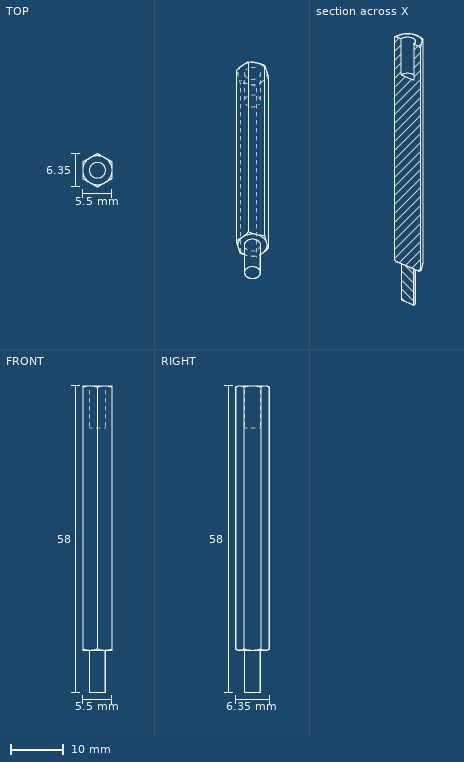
import cadquery as cq
import math

total_length = 58.0
stud_length = 8.0
across_flats = 5.5
thread_diameter = 3.0
end_chamfer_angle = 30.0

hex_length = total_length - stud_length
bore_depth = stud_length
across_corners = across_flats / math.cos(math.radians(30))
corner_excess = (across_corners - across_flats) / 2
corner_chamfer_height = corner_excess * math.tan(math.radians(end_chamfer_angle))


def make_turned_envelope():
    """Cylinder around the hex corners, coned down to the flats at both ends."""
    outer_radius = across_corners / 2
    end_radius = across_flats / 2
    return (
        cq.Workplane("XZ")
        .moveTo(0, 0)
        .lineTo(end_radius, 0)
        .lineTo(outer_radius, corner_chamfer_height)
        .lineTo(outer_radius, hex_length - corner_chamfer_height)
        .lineTo(end_radius, hex_length)
        .lineTo(0, hex_length)
        .close()
        .revolve(360, (0, 0, 0), (0, 1, 0))
    )


def make_hex_body():
    """Hexagonal spacer with corners on the Y axis and a blind bore in its top."""
    hex_prism = (
        cq.Workplane("XY")
        .transformed(rotate=(0, 0, 90))
        .polygon(6, across_corners)
        .extrude(hex_length)
    )
    top_bore = (
        cq.Workplane("XY", origin=(0, 0, hex_length - bore_depth))
        .circle(thread_diameter / 2)
        .extrude(bore_depth)
    )
    return hex_prism.intersect(make_turned_envelope()).cut(top_bore)


def make_stud():
    """Plain round stud standing against the lower end face of the hex body."""
    return (
        cq.Workplane("XY", origin=(0, 0, -stud_length))
        .circle(thread_diameter / 2)
        .extrude(stud_length)
    )


hex_body = make_hex_body()
stud = make_stud()
result = cq.Compound.makeCompound([hex_body.val(), stud.val()])